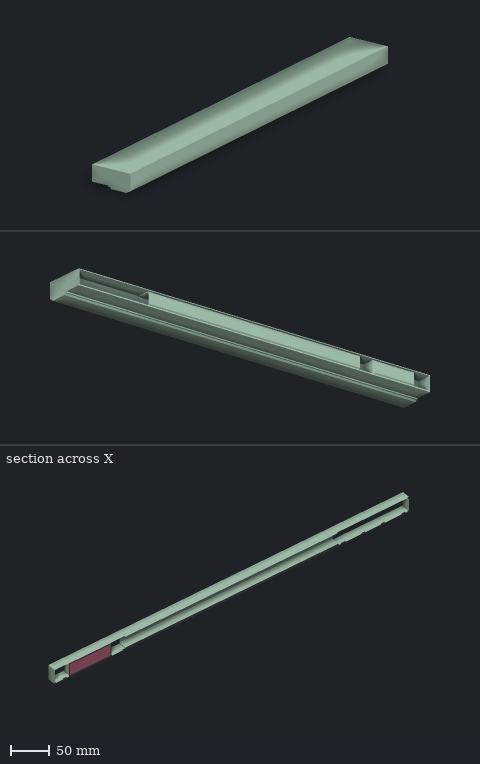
import cadquery as cq

LENGTH = 585.0
WIDTH = 61.0
TRAY_WIDTH = 24.5
BOX_HEIGHT = 24.0
END = LENGTH / 2

LENS_CENTER = 42.5
LENS_HEIGHT = 4.0
LENS_FLANGE_HALF_WIDTH = 16.5
LENS_SHOULDER_HALF_WIDTH = 14.0
LENS_BOTTOM_HALF_WIDTH = 12.0
LENS_FLANGE_DEPTH = 2.0

WALL = 1.0
FLOOR = 2.0
TRAY_DEPTH = TRAY_WIDTH - WALL
ROOF_BOTTOM = BOX_HEIGHT - WALL

CHAMFER = 2.5
TOP_GAP = 0.5
INSERT_TOP = ROOF_BOTTOM - TOP_GAP
PANEL_WALL = 1.0
PANEL_HALF_LENGTH = 175.5
DRIVER_START = -268.0
DRIVER_END = -199.0

HOLE_DIAMETER = 2.5
COUNTERSINK_DIAMETER = 6.0
HOLE_X = 7.5
HOLE_HALF_SPACING = 160.0


def block(x0, x1, y0, y1, z0, z1):
    """A box between two opposite corners."""
    return cq.Workplane("XY", origin=(x0, y0, z0)).box(x1 - x0, y1 - y0, z1 - z0, centered=False)


def make_main_box():
    return block(TRAY_WIDTH, WIDTH, -END, END, 0, BOX_HEIGHT)


def make_lens():
    """A strip with a thin flange along its top and tapered sides below."""
    return (
        cq.Workplane("XZ", origin=(LENS_CENTER, 0, 0))
        .polyline([
            (-LENS_FLANGE_HALF_WIDTH, 0),
            (-LENS_FLANGE_HALF_WIDTH, -LENS_FLANGE_DEPTH),
            (-LENS_SHOULDER_HALF_WIDTH, -LENS_FLANGE_DEPTH),
            (-LENS_BOTTOM_HALF_WIDTH, -LENS_HEIGHT),
            (LENS_BOTTOM_HALF_WIDTH, -LENS_HEIGHT),
            (LENS_SHOULDER_HALF_WIDTH, -LENS_FLANGE_DEPTH),
            (LENS_FLANGE_HALF_WIDTH, -LENS_FLANGE_DEPTH),
            (LENS_FLANGE_HALF_WIDTH, 0),
        ])
        .close()
        .extrude(END, both=True)
    )


def make_tray():
    """Roof, back and end walls, with the countersunk holes in the roof."""
    tray = block(0, TRAY_WIDTH, -END, END, FLOOR, BOX_HEIGHT)
    tray = tray.cut(block(0, TRAY_DEPTH, -END + WALL, END - WALL, FLOOR, ROOF_BOTTOM))
    for y in (-HOLE_HALF_SPACING, HOLE_HALF_SPACING):
        countersink = (
            cq.Workplane("XY", origin=(HOLE_X, y, ROOF_BOTTOM))
            .circle(HOLE_DIAMETER / 2)
            .workplane(offset=WALL)
            .circle(COUNTERSINK_DIAMETER / 2)
            .loft()
        )
        tray = tray.cut(countersink)
    return tray


def make_floor_plate():
    return block(0, TRAY_WIDTH, -END, END, 0, FLOOR)


def make_panel():
    """A tube along Y, chamfered along the top and bottom of its front face."""
    panel = block(
        0, TRAY_DEPTH, -PANEL_HALF_LENGTH, PANEL_HALF_LENGTH, FLOOR, INSERT_TOP
    )
    panel = panel.faces("<X").edges("|Y").chamfer(CHAMFER)
    return panel.faces("<Y or >Y").shell(-PANEL_WALL)


def make_driver():
    """A solid block, chamfered all round its front face."""
    driver = block(0, TRAY_DEPTH, DRIVER_START, DRIVER_END, FLOOR, INSERT_TOP)
    return driver.faces("<X").edges().chamfer(CHAMFER)


main_box = make_main_box()
lens = make_lens()
tray = make_tray()
floor_plate = make_floor_plate()
panel = make_panel()
driver = make_driver()

result = cq.Compound.makeCompound([
    main_box.val(),
    lens.val(),
    tray.val(),
    floor_plate.val(),
    panel.val(),
    driver.val(),
])